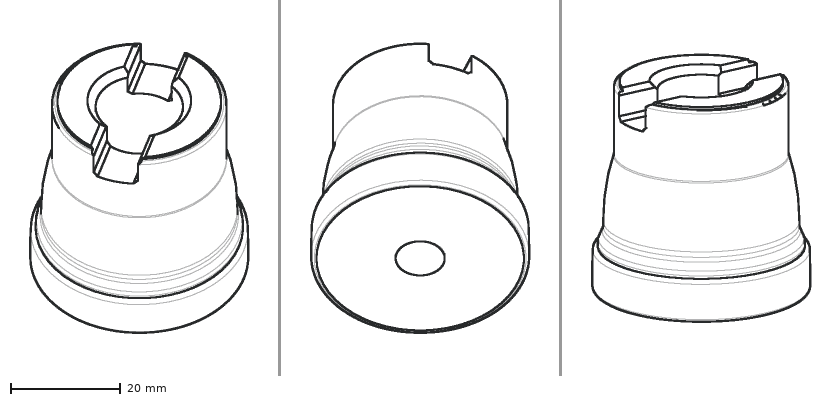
import cadquery as cq
import math

total_height = 40.0

neck_radius = 16.0
rim_land_radius = 15.0
rim_step = 0.5
rim_fillet = 0.5

waist_radius = 18.0
waist_top = 13.0
dome_arc_radius = 42.0
neck_fillet = 1.0

skirt_radius = 19.0
flare_top = 11.5
flare_bottom = 9.15
flare_fillet = 2.25

slot_width = 8.4
slot_depth = 5.8
slot_mouth_chamfer = 1.0
slot_floor_chamfer = 0.8

bore_radius = 8.0
bore_mouth_chamfer = 1.5
bore_floor_chamfer = 0.5
bore_floor = 12.0
through_hole_diameter = 9.0

ring_height = 8.15
ring_crown_radius = 20.005
ring_crown_level = 2.5
ring_crown_arc = 120.0
ring_top_fillet = 0.8
ring_bottom_fillet = 0.6


def revolve(profile):
    """Turn a closed (radius, height) profile around Z."""
    return profile.close().revolve(360, (0, 0, 0), (0, 1, 0))


def housing_blank():
    """Turned outside of the housing: skirt, flare, waist, dome, neck and rim."""
    flare_angle = math.atan2(skirt_radius - waist_radius, flare_top - flare_bottom)
    tangent_length = flare_fillet * math.tan(flare_angle / 2)
    along_r = tangent_length * math.sin(flare_angle)
    along_z = tangent_length * math.cos(flare_angle)
    sagitta_r = flare_fillet * (1 - math.cos(flare_angle / 2))
    sagitta_z = tangent_length - flare_fillet * math.sin(flare_angle / 2)

    dome_center_r = waist_radius - dome_arc_radius
    fillet_center_r = neck_radius + neck_fillet
    center_distance = dome_arc_radius + neck_fillet
    dome_angle = math.acos((fillet_center_r - dome_center_r) / center_distance)
    neck_bottom = waist_top + center_distance * math.sin(dome_angle)

    def dome_point(angle):
        return (
            dome_center_r + dome_arc_radius * math.cos(angle),
            waist_top + dome_arc_radius * math.sin(angle),
        )

    neck_fillet_middle = (
        fillet_center_r - neck_fillet * math.cos(dome_angle / 2),
        neck_bottom - neck_fillet * math.sin(dome_angle / 2),
    )
    rim_level = total_height - rim_step
    rim_inset = rim_fillet * (1 - math.sqrt(0.5))
    rim_fillet_middle = (neck_radius - rim_inset, rim_level - rim_inset)

    profile = (
        cq.Workplane("XZ")
        .lineTo(skirt_radius, 0)
        .lineTo(skirt_radius, flare_bottom - tangent_length)
        .threePointArc(
            (skirt_radius - sagitta_r, flare_bottom - sagitta_z),
            (skirt_radius - along_r, flare_bottom + along_z),
        )
        .lineTo(waist_radius + along_r, flare_top - along_z)
        .threePointArc(
            (waist_radius + sagitta_r, flare_top + sagitta_z),
            (waist_radius, flare_top + tangent_length),
        )
        .lineTo(waist_radius, waist_top)
        .threePointArc(dome_point(dome_angle / 2), dome_point(dome_angle))
        .threePointArc(neck_fillet_middle, (neck_radius, neck_bottom))
        .lineTo(neck_radius, rim_level - rim_fillet)
        .threePointArc(rim_fillet_middle, (neck_radius - rim_fillet, rim_level))
        .lineTo(rim_land_radius, rim_level)
        .lineTo(rim_land_radius, total_height)
        .lineTo(0, total_height)
    )
    return revolve(profile)


def drive_slot():
    """Cutter for the slot, with a chamfered mouth and chamfered floor corners."""
    half_width = slot_width / 2
    floor_half = half_width - slot_floor_chamfer
    mouth_half = half_width + slot_mouth_chamfer
    floor_level = total_height - slot_depth
    right_side = [
        (floor_half, floor_level),
        (half_width, floor_level + slot_floor_chamfer),
        (half_width, total_height - slot_mouth_chamfer),
        (mouth_half, total_height),
    ]
    left_side = [(-x, z) for x, z in reversed(right_side)]
    return (
        cq.Workplane("XZ")
        .polyline(right_side + left_side)
        .close()
        .extrude(skirt_radius, both=True)
    )


def stepped_bore():
    """Cutter for the chamfered bore and the smaller hole through its floor."""
    hole_radius = through_hole_diameter / 2
    profile = (
        cq.Workplane("XZ")
        .lineTo(hole_radius, 0)
        .lineTo(hole_radius, bore_floor)
        .lineTo(bore_radius - bore_floor_chamfer, bore_floor)
        .lineTo(bore_radius, bore_floor + bore_floor_chamfer)
        .lineTo(bore_radius, total_height - bore_mouth_chamfer)
        .lineTo(bore_radius + bore_mouth_chamfer, total_height)
        .lineTo(0, total_height)
    )
    return revolve(profile)


def make_housing():
    return housing_blank().cut(drive_slot()).cut(stepped_bore())


def make_base_ring():
    """Ring fitted around the skirt, its side crowned and its outer edges rounded."""

    def side_radius(level):
        offset = level - ring_crown_level
        return ring_crown_radius - ring_crown_arc + math.sqrt(ring_crown_arc**2 - offset**2)

    profile = (
        cq.Workplane("XZ")
        .moveTo(skirt_radius, 0)
        .lineTo(side_radius(0), 0)
        .threePointArc(
            (ring_crown_radius, ring_crown_level),
            (side_radius(ring_height), ring_height),
        )
        .lineTo(skirt_radius, ring_height)
    )
    ring = revolve(profile)
    ring = ring.faces(">Z").edges(cq.selectors.RadiusNthSelector(-1)).fillet(ring_top_fillet)
    return ring.faces("<Z").edges(cq.selectors.RadiusNthSelector(-1)).fillet(ring_bottom_fillet)


housing = make_housing()
base_ring = make_base_ring()

result = cq.Compound.makeCompound([housing.val(), base_ring.val()])